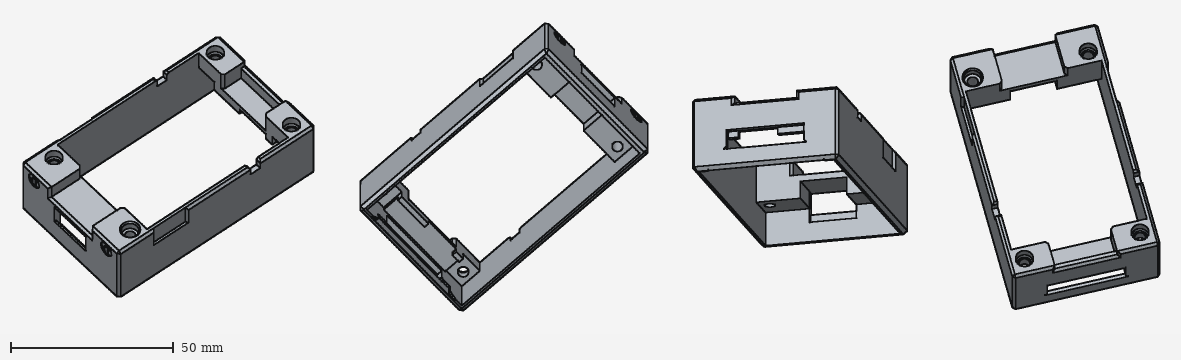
import cadquery as cq

LENGTH = 78.5
WIDTH = 46.7
HEIGHT = 23.2
SIDE_WALL = 1.9
EDGE_CHAMFER = 0.9
BASE_CHAMFER = 1.2

OPENING_FRONT = -26.4
OPENING_BACK = 29.85
FRONT_WALL = 2.4
FRONT_HOLLOW_TOP = 10.7
BACK_WALL = 1.9
BACK_HOLLOW_TOP = 16.1

NOTCH_WIDTH = 19.8
FRONT_DECK = 18.3
BACK_DECK = 16.2
BACK_RIM_TOP = 20.9
BACK_RIM_WALL = 2.1

WINDOW_WIDTH = 15.1
WINDOW_BOTTOM = 9.2
WINDOW_TOP = 16.2
SILL_THICKNESS = 0.7
SILL_POCKET_BOTTOM = 6.3
CHANNEL_WIDTH = 14.8

SHELF_WIDTH = 27.8
SHELF_BOTTOM = 14.4
SKIRT_BOTTOM = 12.2
SKIRT_THICKNESS = 1.65
SKIRT_GAP_START = -1.8
SKIRT_GAP_END = 10.75

RECESS_DEPTH = 0.6
RECESS_HALF = 16.3
RECESS_TOP = 6.05
RECESS_FLARE = 2.4
PORT_HALF = 12.4
PORT_FLARE = 0.8

SCREW_X = 18.3
SCREW_FRONT_Y = -30.5
SCREW_BACK_Y = 33.85
SCREW_DIAMETER = 3.3
HEAD_DIAMETER = 5.4
HEAD_DEPTH = 2.9
SEAT_DIAMETER = 4.4
SEAT_DEPTH = 0.55
LEAD_IN_DIAMETER = 6.4

SLOT_START = 13.35
SLOT_END = 17.2
SLOT_BOTTOM = 20.0
SLOT_CHAMFER = 0.7
GRIP_START = -25.2
GRIP_END = -11.3
GRIP_BOTTOM = 16.2
GRIP_SLOPE = 0.7

ARROW_X = 17.35
ARROW_Z = 19.55
MARK_RADIUS = 2.5
MARK_DEPTH = 0.4
ARROW_TIP = 2.05
ARROW_SHOULDER = 0.2
ARROW_TAIL = -2.2
ARROW_HEAD_HALF = 1.2
ARROW_SHAFT_HALF = 0.6

X_OUT = WIDTH / 2
Y_OUT = LENGTH / 2
X_IN = X_OUT - SIDE_WALL
Y_BACK_IN = Y_OUT - BACK_WALL
NOTCH_HALF = NOTCH_WIDTH / 2


def box(x0, x1, y0, y1, z0, z1):
    """Box between two opposite corners."""
    return cq.Workplane("XY").box(x1 - x0, y1 - y0, z1 - z0, centered=False).translate((x0, y0, z0))


def across_y(points, y0, y1):
    """Prism of an (x, z) outline running from y0 to y1."""
    return cq.Workplane("XZ", origin=(0, y1, 0)).polyline(points).close().extrude(y1 - y0)


def plan_prism(points, z0, z1):
    """Prism of an (x, y) outline running from z0 to z1."""
    return cq.Workplane("XY").workplane(offset=z0).polyline(points).close().extrude(z1 - z0)


def mirrored(points):
    """Complete an outline given by its +X half."""
    return points + [(-a, b) for a, b in reversed(points)]


def frame():
    """Outer block with the central opening and the hollows under both end blocks."""
    body = box(-X_OUT, X_OUT, -Y_OUT, Y_OUT, 0, HEIGHT)
    body = body.edges("|Z or >Z").chamfer(EDGE_CHAMFER)
    body = body.faces("<Z").edges().chamfer(BASE_CHAMFER)
    body = body.cut(box(-X_IN, X_IN, OPENING_FRONT, OPENING_BACK, 0, HEIGHT))
    body = body.cut(box(-X_IN, X_IN, FRONT_WALL - Y_OUT, OPENING_FRONT, 0, FRONT_HOLLOW_TOP))
    return body.cut(box(-X_IN, X_IN, OPENING_BACK, Y_BACK_IN, 0, BACK_HOLLOW_TOP))


def back_shelf():
    """Shelf under the back deck, with a skirt hanging from its inner edge."""
    half = SHELF_WIDTH / 2
    shelf = box(-half, half, OPENING_BACK, Y_BACK_IN, SHELF_BOTTOM, BACK_HOLLOW_TOP)
    skirt_back = OPENING_BACK + SKIRT_THICKNESS
    for start, end in ((-half, SKIRT_GAP_START), (SKIRT_GAP_END, half)):
        shelf = shelf.union(box(start, end, OPENING_BACK, skirt_back, SKIRT_BOTTOM, SHELF_BOTTOM))
    return shelf


def front_notch():
    """Notch in the front block, bevelled along its outer edges and inner corners."""
    c = EDGE_CHAMFER
    notch = plan_prism(
        mirrored([
            (NOTCH_HALF + c, -Y_OUT),
            (NOTCH_HALF, c - Y_OUT),
            (NOTCH_HALF, OPENING_FRONT - c),
            (NOTCH_HALF + c, OPENING_FRONT),
        ]),
        FRONT_DECK, HEIGHT,
    )
    deck_bevel = (
        cq.Workplane("XZ", origin=(0, -Y_OUT, 0))
        .center(0, (FRONT_DECK + HEIGHT) / 2)
        .rect(NOTCH_WIDTH + 2 * c, HEIGHT - FRONT_DECK + 2 * c)
        .extrude(-c, taper=45)
    )
    return notch.union(deck_bevel)


def back_notch():
    """Notch in the back block: a low deck behind an outer rim with a bevelled top."""
    c = EDGE_CHAMFER
    deck = plan_prism(
        mirrored([
            (NOTCH_HALF, Y_OUT - BACK_RIM_WALL),
            (NOTCH_HALF, OPENING_BACK + c),
            (NOTCH_HALF + c, OPENING_BACK),
        ]),
        BACK_DECK, HEIGHT,
    )
    over_rim = box(-NOTCH_HALF, NOTCH_HALF, OPENING_BACK, Y_OUT, BACK_RIM_TOP, HEIGHT)
    rim_bevel = (
        cq.Workplane("XZ", origin=(0, Y_OUT, 0))
        .center(0, (BACK_RIM_TOP + HEIGHT) / 2)
        .rect(NOTCH_WIDTH + 2 * c, HEIGHT - BACK_RIM_TOP + 2 * c)
        .extrude(c, taper=45)
    )
    return deck.union(over_rim).union(rim_bevel)


def front_passage():
    """Window in the front wall, the pocket thinning its sill, and the channel behind it."""
    half_window = WINDOW_WIDTH / 2
    half_channel = CHANNEL_WIDTH / 2
    wall_in = FRONT_WALL - Y_OUT
    sill_in = SILL_THICKNESS - Y_OUT
    window = box(-half_window, half_window, -Y_OUT, wall_in, WINDOW_BOTTOM, WINDOW_TOP)
    pocket = box(-half_window, half_window, sill_in, wall_in, SILL_POCKET_BOTTOM, WINDOW_TOP)
    channel = box(-half_channel, half_channel, wall_in, OPENING_FRONT, FRONT_HOLLOW_TOP, WINDOW_TOP)
    return window.union(pocket).union(channel)


def back_passage():
    """Flared recess inside the back wall and the port through the wall above it."""
    recess = across_y(
        mirrored([
            (RECESS_HALF + RECESS_FLARE, 0),
            (RECESS_HALF, RECESS_FLARE),
            (RECESS_HALF, RECESS_TOP),
        ]),
        Y_BACK_IN, Y_BACK_IN + RECESS_DEPTH,
    )
    port = across_y(
        mirrored([
            (PORT_HALF + PORT_FLARE, RECESS_TOP),
            (PORT_HALF, RECESS_TOP + PORT_FLARE),
            (PORT_HALF, SKIRT_BOTTOM),
        ]),
        Y_BACK_IN, Y_OUT,
    )
    return recess.union(port)


def screw_hole(x, y, lead_in):
    """Counterbored hole with either a chamfered mouth and flat seat or a conical seat."""
    r_screw = SCREW_DIAMETER / 2
    r_head = HEAD_DIAMETER / 2
    seat = HEIGHT - HEAD_DEPTH
    profile = [(0, 0), (r_screw, 0)]
    if lead_in:
        r_mouth = LEAD_IN_DIAMETER / 2
        profile += [(r_screw, seat), (r_head, seat)]
        profile += [(r_head, HEIGHT - (r_mouth - r_head)), (r_mouth, HEIGHT)]
    else:
        r_seat = SEAT_DIAMETER / 2
        profile += [(r_screw, seat - SEAT_DEPTH), (r_seat, seat - SEAT_DEPTH)]
        profile += [(r_head, seat), (r_head, HEIGHT)]
    profile.append((0, HEIGHT))
    hole = cq.Workplane("XZ").polyline(profile).close().revolve(360, (0, 0, 0), (0, 1, 0))
    return hole.translate((x, y, 0))


def rim_slot():
    """Slot across both side walls, bevelled at the top."""
    outline = [
        (SLOT_START, SLOT_BOTTOM),
        (SLOT_END, SLOT_BOTTOM),
        (SLOT_END, HEIGHT - SLOT_CHAMFER),
        (SLOT_END + SLOT_CHAMFER, HEIGHT),
        (SLOT_START - SLOT_CHAMFER, HEIGHT),
        (SLOT_START, HEIGHT - SLOT_CHAMFER),
    ]
    return cq.Workplane("YZ", origin=(-X_OUT, 0, 0)).polyline(outline).close().extrude(WIDTH)


def grip_recess(side):
    """Shallow recess with sloping ends, open at the top of one side wall."""
    x_floor = X_OUT - EDGE_CHAMFER
    outline = [
        (side * X_OUT, GRIP_START),
        (side * x_floor, GRIP_START + GRIP_SLOPE),
        (side * x_floor, GRIP_END - GRIP_SLOPE),
        (side * X_OUT, GRIP_END),
    ]
    return plan_prism(outline, GRIP_BOTTOM, HEIGHT)


def arrow_mark(x):
    """Round recess in the front face with a raised upward arrow."""
    disc = cq.Workplane("XZ", origin=(x, -Y_OUT, ARROW_Z)).circle(MARK_RADIUS).extrude(-MARK_DEPTH)
    arrow = across_y(
        [(0, ARROW_TIP)] + mirrored([
            (ARROW_HEAD_HALF, ARROW_SHOULDER),
            (ARROW_SHAFT_HALF, ARROW_SHOULDER),
            (ARROW_SHAFT_HALF, ARROW_TAIL),
        ]),
        -Y_OUT, MARK_DEPTH - Y_OUT,
    )
    return disc.cut(arrow.translate((x, 0, ARROW_Z)))


result = frame().union(back_shelf())
result = result.cut(front_notch()).cut(back_notch())
result = result.cut(front_passage()).cut(back_passage())
for side in (-1, 1):
    result = result.cut(screw_hole(side * SCREW_X, SCREW_FRONT_Y, lead_in=side > 0))
    result = result.cut(screw_hole(side * SCREW_X, SCREW_BACK_Y, lead_in=False))
    result = result.cut(grip_recess(side))
    result = result.cut(arrow_mark(side * ARROW_X))
result = result.cut(rim_slot())